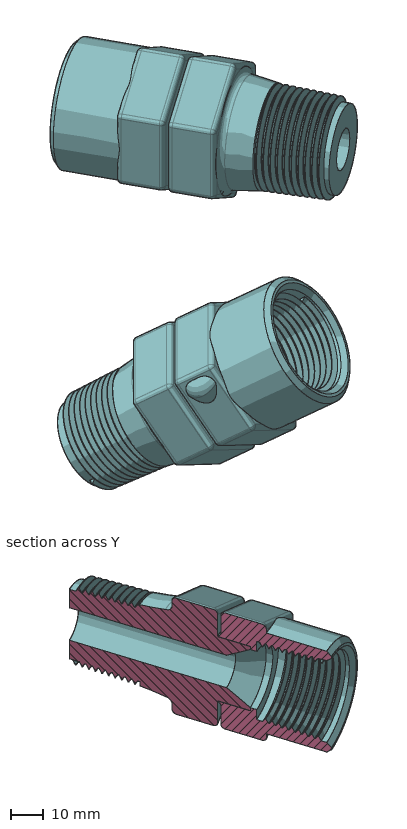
import cadquery as cq
import math


TOTAL_LENGTH = 87.9

HEX_ACROSS_FLATS = 41.9
HEX_LENGTH = 15.4
HEX_FILLET = 1.6
FEMALE_HEX_START = 21.8
FEMALE_HEX_END = FEMALE_HEX_START + HEX_LENGTH
HEX_GAP = 1.0
MALE_HEX_START = FEMALE_HEX_END + HEX_GAP
MALE_HEX_END = MALE_HEX_START + HEX_LENGTH

BODY_RADIUS = 41.7 / 2
BODY_CHAMFER = 1.6
MOUTH_RADIUS = 18.3
FEMALE_ROOT_RADIUS = 16.7
FEMALE_BORE_DEPTH = 25.1
COLLAR_RADIUS = 13.6
COLLAR_ROOT_RADIUS = 14.95
COLLAR_FILLET = 1.3

STEM_RADIUS = 13.1
STEM_START = 27.3
THROAT_RADIUS = 13.2 / 2
FUNNEL_RADIUS = 11.9
FUNNEL_LENGTH = 7.9
NECK_START_RADIUS = 18.0
NECK_END_RADIUS = 16.8
NECK_END = 64.3
NECK_FILLET = 2.1
THREAD_END_RADIUS = 14.3

MALE_THREAD_LENGTH = 21.5
MALE_THREAD_TURNS = 9 + 3 / 4
THREAD_PITCH = MALE_THREAD_LENGTH / MALE_THREAD_TURNS
THREAD_TAPER = math.atan(1 / 32)
MALE_RIDGE_HEIGHT = 1.7
RIDGE_SPACING = 0.03
RIDGE_BASE = THREAD_PITCH - RIDGE_SPACING
RIDGE_CREST = 0.2
RIDGE_ROOTING = 0.13
MALE_THREAD_START = 64.3
FEMALE_THREAD_START = 3.3
FEMALE_THREAD_TURNS = 9.0
FEMALE_RIDGE_HEIGHT = 1.5

BOSS_RADIUS = 7.0
BOSS_X = FEMALE_HEX_START + HEX_LENGTH / 2
BOSS_BOTTOM_Z = -17.3
BOSS_ROOT_Y = 8.8
BOSS_SHOULDER_Y = 16.0
BOSS_TIP_Y = 19.6
DOME_DEPTH = 4.2
DOME_RADIUS = 4.6


def turned(outline):
    """Solid turned about the X axis from a closed outline in (x, radius)."""
    return outline.close().revolve(360, (0, 0, 0), (1, 0, 0))


def cylinder_x(radius, start, end):
    return cq.Workplane("YZ", origin=(start, 0, 0)).circle(radius).extrude(end - start)


def wrench_hex(start):
    """Hexagonal prism with flats at +Y and -Y, and every edge rounded."""
    across_corners = HEX_ACROSS_FLATS / math.cos(math.radians(30))
    prism = cq.Workplane("YZ", origin=(start, 0, 0)).polygon(6, across_corners).extrude(HEX_LENGTH)
    return prism.rotate((0, 0, 0), (1, 0, 0), 30).edges().fillet(HEX_FILLET)


def thread_ridge(root_radius, start, turns, start_angle, height):
    """Right-handed V ridge on a cone that narrows toward +X.

    A positive height points outward and a negative one inward. The start angle is
    measured about +X from the +Y direction.
    """
    rooting = math.copysign(RIDGE_ROOTING, height)
    base_radius = root_radius - rooting
    helix = cq.Wire.makeHelix(
        THREAD_PITCH,
        turns * THREAD_PITCH,
        base_radius,
        angle=-math.degrees(THREAD_TAPER),
    )
    ridge = (
        cq.Workplane("XZ")
        .moveTo(base_radius, -RIDGE_BASE / 2)
        .lineTo(root_radius + height, -RIDGE_CREST / 2)
        .lineTo(root_radius + height, RIDGE_CREST / 2)
        .lineTo(base_radius, RIDGE_BASE / 2)
        .close()
        .sweep(cq.Workplane(helix), isFrenet=True)
    )
    along_x = ridge.rotate((0, 0, 0), (1, 1, 1), 120)
    return along_x.rotate((0, 0, 0), (1, 0, 0), start_angle).translate((start, 0, 0))


def domed_boss():
    """Round boss along Y whose end is rounded down to a small flat tip."""
    axis_z = BOSS_BOTTOM_Z + BOSS_RADIUS
    return (
        cq.Workplane("XY", origin=(BOSS_X, 0, axis_z))
        .moveTo(0, BOSS_ROOT_Y)
        .lineTo(BOSS_RADIUS, BOSS_ROOT_Y)
        .lineTo(BOSS_RADIUS, BOSS_SHOULDER_Y)
        .radiusArc((BOSS_RADIUS - DOME_DEPTH, BOSS_TIP_Y), -DOME_RADIUS)
        .lineTo(0, BOSS_TIP_Y)
        .close()
        .revolve(360, (0, 0, 0), (0, 1, 0))
    )


def make_female_body():
    barrel_end = FEMALE_HEX_START + HEX_LENGTH / 2
    barrel = turned(
        cq.Workplane("XY")
        .lineTo(0, BODY_RADIUS - BODY_CHAMFER)
        .lineTo(BODY_CHAMFER, BODY_RADIUS)
        .lineTo(barrel_end, BODY_RADIUS)
        .lineTo(barrel_end, 0)
    )
    collar = turned(
        cq.Workplane("XY")
        .moveTo(FEMALE_HEX_START, 0)
        .lineTo(FEMALE_HEX_START, COLLAR_ROOT_RADIUS)
        .lineTo(FEMALE_HEX_END, COLLAR_ROOT_RADIUS)
        .radiusArc((MALE_HEX_START, COLLAR_RADIUS), -COLLAR_FILLET)
        .lineTo(MALE_HEX_START, 0)
    )
    body = barrel.union(wrench_hex(FEMALE_HEX_START)).union(collar).union(domed_boss())

    mouth_depth = MOUTH_RADIUS - FEMALE_ROOT_RADIUS
    bore_end_radius = FEMALE_ROOT_RADIUS - (FEMALE_BORE_DEPTH - mouth_depth) * math.tan(THREAD_TAPER)
    bore = turned(
        cq.Workplane("XY")
        .lineTo(0, MOUTH_RADIUS)
        .lineTo(mouth_depth, FEMALE_ROOT_RADIUS)
        .lineTo(FEMALE_BORE_DEPTH, bore_end_radius)
        .lineTo(FEMALE_BORE_DEPTH, 0)
    )
    thread_root = FEMALE_ROOT_RADIUS - (FEMALE_THREAD_START - mouth_depth) * math.tan(THREAD_TAPER)
    thread = thread_ridge(
        thread_root, FEMALE_THREAD_START, FEMALE_THREAD_TURNS, 90, -FEMALE_RIDGE_HEIGHT
    )
    lip_hole = cylinder_x(FUNNEL_RADIUS, FEMALE_BORE_DEPTH, STEM_START)
    stem_socket = cylinder_x(STEM_RADIUS, STEM_START, MALE_HEX_START)
    return body.cut(bore).cut(lip_hole).cut(stem_socket).union(thread)


def make_male_stem():
    root_at_start = THREAD_END_RADIUS + (TOTAL_LENGTH - MALE_THREAD_START) * math.tan(THREAD_TAPER)
    root_at_neck = THREAD_END_RADIUS + (TOTAL_LENGTH - NECK_END) * math.tan(THREAD_TAPER)
    neck_start = MALE_HEX_END + NECK_FILLET
    flange_radius = NECK_START_RADIUS + NECK_FILLET
    arc_reach = NECK_FILLET * math.sin(math.pi / 4)
    outside = turned(
        cq.Workplane("XY")
        .moveTo(STEM_START, 0)
        .lineTo(STEM_START, STEM_RADIUS)
        .lineTo(MALE_HEX_END - HEX_FILLET, STEM_RADIUS)
        .lineTo(MALE_HEX_END - HEX_FILLET, flange_radius)
        .lineTo(MALE_HEX_END, flange_radius)
        .threePointArc(
            (neck_start - arc_reach, flange_radius - arc_reach),
            (neck_start, NECK_START_RADIUS),
        )
        .lineTo(NECK_END, NECK_END_RADIUS)
        .lineTo(NECK_END, root_at_neck)
        .lineTo(TOTAL_LENGTH, THREAD_END_RADIUS)
        .lineTo(TOTAL_LENGTH, 0)
    )
    thread = thread_ridge(root_at_start, MALE_THREAD_START, MALE_THREAD_TURNS, 0, MALE_RIDGE_HEIGHT)
    passage = turned(
        cq.Workplane("XY")
        .moveTo(STEM_START, 0)
        .lineTo(STEM_START, FUNNEL_RADIUS)
        .lineTo(STEM_START + FUNNEL_LENGTH, THROAT_RADIUS)
        .lineTo(TOTAL_LENGTH, THROAT_RADIUS)
        .lineTo(TOTAL_LENGTH, 0)
    )
    return outside.union(wrench_hex(MALE_HEX_START)).union(thread).cut(passage)


female_body = make_female_body()
male_stem = make_male_stem()

result = cq.Compound.makeCompound([female_body.solids().val(), male_stem.solids().val()])